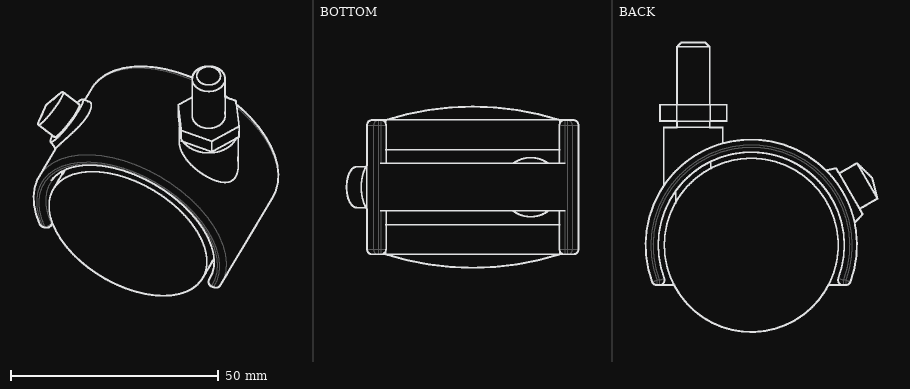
import cadquery as cq
import math


OVERALL_WIDTH = 39.0

HOUSING_R = 25.55
HOUSING_HALF_W = 16.25
WALL = 3.1
WEB_HALF_W = 5.75
HOUSING_BOTTOM_Z = -9.65
COVER_FILLET = 1.25

WHEEL_R = 21.0
WHEEL_INNER_Y = 9.0
WHEEL_OUTER_Y = HOUSING_HALF_W
DOME_H = OVERALL_WIDTH / 2 - WHEEL_OUTER_Y

STUD_X = 14.0
BOSS_R = 7.15
BOSS_TOP_Z = 28.4
BOSS_BOTTOM_Z = 0.0

BUTTON_TILT = 30.0
BUTTON_AXIS_Z = -0.6
BUTTON_R = 5.0
BUTTON_EDGE = 32.35
BUTTON_TIP_H = 1.4
COLLAR_FACE = 27.4
COLLAR_FACE_R = 6.45
COLLAR_HALF_ANGLE = 17.0
BUTTON_ROOT = 23.5

STUD_R = 4.0
STUD_TOP_Z = 49.0
STUD_CHAMFER = 1.1
STUD_DEPTH = 14.0
HEX_FLATS = 14.0
HEX_CORNERS = HEX_FLATS / math.cos(math.pi / 6)
HEX_BOTTOM_Z = 29.95
HEX_H = 4.0


def cylinder_y(radius, y_start, y_end):
    """Cylinder around the Y axis between two Y positions."""
    return cq.Workplane("XZ", origin=(0, y_start, 0)).circle(radius).extrude(y_start - y_end)


def cylinder_z(radius, x, z_start, z_end):
    """Upright cylinder at the given X position."""
    return cq.Workplane("XY", origin=(x, 0, z_start)).circle(radius).extrude(z_end - z_start)


def trimmed_drum(half_width):
    """Solid drum of the cover's outline, cut flat at the bottom."""
    above_bottom = cq.Workplane("XY", origin=(0, 0, HOUSING_BOTTOM_Z)).rect(
        2 * HOUSING_R, 2 * half_width).extrude(HOUSING_R - HOUSING_BOTTOM_Z)
    return cylinder_y(HOUSING_R, -half_width, half_width).intersect(above_bottom)


def make_cover():
    """Arched cover with rounded ends and rims, closed by a web in the middle."""
    arch = trimmed_drum(HOUSING_HALF_W)
    arch = arch.cut(cylinder_y(HOUSING_R - WALL, -HOUSING_HALF_W, HOUSING_HALF_W))
    arch = arch.edges("|Y").fillet(COVER_FILLET)
    arch = arch.faces("<Y or >Y").edges().fillet(COVER_FILLET)
    web = trimmed_drum(WEB_HALF_W).edges("|Y").fillet(COVER_FILLET)
    return arch.union(web)


def make_button():
    """Brake button with a conical tip and a collar that widens towards the cover."""
    collar_root_r = COLLAR_FACE_R + (COLLAR_FACE - BUTTON_ROOT) * math.tan(math.radians(COLLAR_HALF_ANGLE))
    profile = [
        (0, BUTTON_ROOT),
        (collar_root_r, BUTTON_ROOT),
        (COLLAR_FACE_R, COLLAR_FACE),
        (BUTTON_R, COLLAR_FACE),
        (BUTTON_R, BUTTON_EDGE),
        (0, BUTTON_EDGE + BUTTON_TIP_H),
    ]
    button = cq.Workplane("XZ").polyline(profile).close().revolve(360, (0, 0, 0), (0, 1, 0))
    button = button.rotate((0, 0, 0), (0, 1, 0), BUTTON_TILT - 90)
    return button.translate((0, 0, BUTTON_AXIS_Z))


def make_housing():
    """Cover, stud boss and brake button in one piece, with the blind stud hole."""
    boss = cylinder_z(BOSS_R, STUD_X, BOSS_BOTTOM_Z, BOSS_TOP_Z)
    hole = cylinder_z(STUD_R, STUD_X, BOSS_TOP_Z - STUD_DEPTH, BOSS_TOP_Z)
    return make_cover().union(boss).union(make_button()).cut(hole)


def make_wheel(side):
    """Wheel with a domed outer face; side is -1 or 1 along Y."""
    dome_radius = (WHEEL_R**2 + DOME_H**2) / (2 * DOME_H)
    crown_y = WHEEL_OUTER_Y + DOME_H
    mid_x = WHEEL_R / 2
    mid_y = crown_y - dome_radius + math.sqrt(dome_radius**2 - mid_x**2)
    return (
        cq.Workplane("XY")
        .moveTo(0, side * WHEEL_INNER_Y)
        .lineTo(WHEEL_R, side * WHEEL_INNER_Y)
        .lineTo(WHEEL_R, side * WHEEL_OUTER_Y)
        .threePointArc((mid_x, side * mid_y), (0, side * crown_y))
        .close()
        .revolve(360, (0, 0, 0), (0, 1, 0))
    )


def make_stud():
    """Stud with a chamfered top end and a hexagon above the boss."""
    shank = cylinder_z(STUD_R, STUD_X, BOSS_TOP_Z - STUD_DEPTH, STUD_TOP_Z)
    shank = shank.faces(">Z").chamfer(STUD_CHAMFER)
    hexagon = (
        cq.Workplane("XY", origin=(STUD_X, 0, HEX_BOTTOM_Z))
        .polygon(6, HEX_CORNERS)
        .extrude(HEX_H)
    )
    return shank.union(hexagon)


housing = make_housing()
wheels = [make_wheel(side) for side in (-1, 1)]
stud = make_stud()

result = cq.Compound.makeCompound([housing.val(), *[wheel.val() for wheel in wheels], stud.val()])